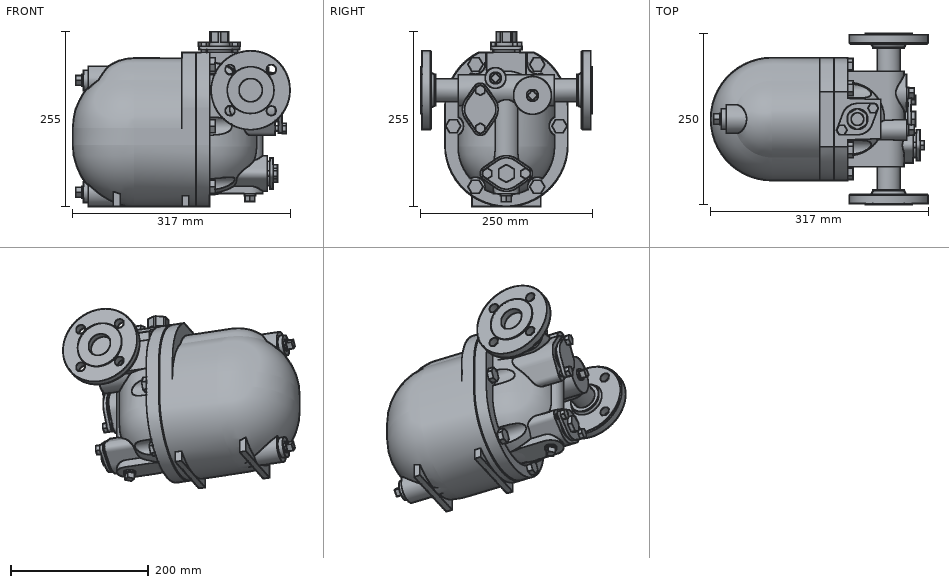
import cadquery as cq
import math


vessel_radius = 89.7
lower_axis_z = vessel_radius
upper_axis_z = 114.5
crown_radius = 65.0
crown_top_z = 216.5
crown_axis_z = crown_top_z - crown_radius
dome_x = vessel_radius

joint_front_x = 159.0
joint_middle_x = 179.0
joint_rear_x = 199.7
joint_top_z = 224.8
joint_arc_z = 144.5
gasket_thickness = 1.3
gasket_inset = 0.5
bolt_y = 45.0
bolt_heights = (29.0, 207.0)
side_bolt_y = 77.5
side_bolt_z = 117.3
bolt_points = [(sign * bolt_y, z) for sign in (-1, 1) for z in bolt_heights]
side_bolt_points = [(-side_bolt_y, side_bolt_z), (side_bolt_y, side_bolt_z)]
bolt_across_flats = 19.0
bolt_head_height = 8.0
bolt_pocket_radius = 14.0
side_pocket_radius = 15.0

boss_radius = 21.0
boss_face_x = 22.8
boss_axis_heights = (boss_radius, 184.0)
boss_plug_diameter = 30.0
boss_plug_length = 7.0
foot_thickness = 9.8
foot_half_width = 50.5
foot_height = 25.5
foot_starts = (59.5, 159.5)

plug_diameter = 17.0
plug_collar = 3.0
plug_square_length = 8.5
plug_square_diagonal = 15.0

cover_radius = 70.5
cover_lower_z = 87.5
cover_upper_z = 146.5
pad_end_x = 248.2
pad_half_width = 30.0
pad_end_half_width = 28.5
drain_axis_x = 258.5
drain_radius = 19.0
web_shoulder_x = 222.0
web_root_half_width = 16.5
drain_bottom_z = 18.7

pipe_diameter = 34.0
flange_diameter = 115.0
total_length = 317.0
total_width = 250.0
pipe_x = total_length - flange_diameter / 2
pipe_z = 169.5
block_half_width = 69.7
block_end_radius = 22.5
raised_face_diameter = 68.0
raised_face_height = 2.0
flange_thickness = 14.0
flange_chamfer = 2.0
hub_diameter = 46.0
hub_base_diameter = 50.7
hub_cone_length = 4.5
hub_length = 6.3
socket_depth = 11.5
flange_hole_diameter = 14.0
flange_hole_circle = 85.0
flange_hole_count = 4
flange_hole_start_angle = 45

oval_radius = 22.8
lug_radius = 7.0
lug_distance = 28.0
oval_thickness = 4.8
oval_gap = 3.8
thick_oval_thickness = 5.5
thick_oval_gap = 4.8
oval_neck_diameter = 36.0
stud_diameter = 8.0
screw_across_flats = 13.3
screw_head_height = 6.3
oval_boss_margin = 3.2

round_port_end_x = 285.5
large_port_y, large_port_z, large_port_diameter = 38.0, 162.0, 55.0
small_port_y, small_port_z, small_port_diameter = -16.0, 187.5, 30.0
upper_oval_y, upper_oval_z, upper_oval_end_x = -38.0, 141.7, 295.0
lower_oval_y, lower_oval_z, lower_oval_end_x = 0.0, 48.2, 283.7
center_hex_across_flats = 22.5

fitting_x = 214.0
fitting_top_z = 255.0
fitting_hex_bottom_z = 239.3
fitting_across_flats = 27.5
fitting_diameter = 30.0
fitting_bore_diameter = 18.5
fitting_bore_depth = 25.5
fitting_lug_angle = 35.0


def bar_x(diameter, x_start, x_end, y, z):
    """Round bar along X."""
    return cq.Workplane("YZ", origin=(x_start, y, z)).circle(diameter / 2).extrude(x_end - x_start)


def ball(radius, x, z):
    """Sphere centred on the middle plane."""
    return cq.Workplane("XY", origin=(x, 0, z)).sphere(radius)


def hexagon(plane, across_flats, height):
    """Hexagonal prism with two corners on the local X axis of the plane."""
    return plane.polygon(6, across_flats / math.cos(math.pi / 6)).extrude(height)


def box_between(x_range, y_range, z_range):
    size = [high - low for low, high in (x_range, y_range, z_range)]
    corner = (x_range[0], y_range[0], z_range[0])
    return cq.Workplane("XY").box(*size, centered=False).translate(corner)


def square_plug(x, y, z, direction):
    """Round collar and square head, pointing along the given direction."""
    base = cq.Plane(origin=(x, y, z), xDir=(0, 1, 0), normal=direction)
    collar = cq.Workplane(base).circle(plug_diameter / 2).extrude(plug_collar)
    head = cq.Workplane(base).polygon(4, plug_square_diagonal).extrude(plug_collar + plug_square_length)
    return collar.union(head)


def oval(plane, angle, margin, height):
    """Round plate with two opposite lugs, joined by straight tangents and grown by margin."""
    big = oval_radius + margin
    small = lug_radius + margin
    spread = math.degrees(math.acos((big - small) / lug_distance))

    def point(radius, turn, shift=0):
        """Point at the given turn from the lug axis on a circle shifted along that axis."""
        lug = math.radians(angle)
        around = math.radians(angle + turn)
        x = radius * math.cos(around) + shift * math.cos(lug)
        y = radius * math.sin(around) + shift * math.sin(lug)
        return (x, y)

    return (
        plane.moveTo(*point(big, -spread))
        .lineTo(*point(small, -spread, lug_distance))
        .threePointArc(point(small, 0, lug_distance), point(small, spread, lug_distance))
        .lineTo(*point(big, spread))
        .threePointArc(point(big, 90), point(big, 180 - spread))
        .lineTo(*point(small, 180 - spread, -lug_distance))
        .threePointArc(point(small, 180, -lug_distance), point(small, 180 + spread, -lug_distance))
        .lineTo(*point(big, 180 + spread))
        .threePointArc(point(big, 270), point(big, -spread))
        .close()
        .extrude(height)
    )


def oval_flange(plane, angle, gap, thickness):
    """Neck, studs, oval plate and two hexagonal screw heads standing on the plane."""
    top = gap + thickness
    lug = math.radians(angle)
    lug_x = lug_distance * math.cos(lug)
    lug_y = lug_distance * math.sin(lug)
    flange = oval(plane.workplane(offset=gap), angle, 0, thickness)
    flange = flange.union(plane.circle(oval_neck_diameter / 2).extrude(top))
    for sign in (-1, 1):
        spot = plane.center(sign * lug_x, sign * lug_y)
        flange = flange.union(spot.circle(stud_diameter / 2).extrude(top))
        flange = flange.union(hexagon(spot.workplane(offset=top), screw_across_flats, screw_head_height))
    return flange


def vessel():
    """Round-bottomed shell with a narrower crown, closed by a rounded dome."""
    axis_spacing = upper_axis_z - lower_axis_z
    section = cq.Workplane("YZ", origin=(dome_x, 0, (lower_axis_z + upper_axis_z) / 2))
    section = section.slot2D(axis_spacing + 2 * vessel_radius, 2 * vessel_radius, 90)
    body = section.extrude(joint_front_x - dome_x)
    body = body.union(bar_x(2 * crown_radius, dome_x, joint_front_x, 0, crown_axis_z))
    belt = cq.Workplane("XY", origin=(dome_x, 0, lower_axis_z)).circle(vessel_radius)
    body = body.union(belt.extrude(axis_spacing))
    body = body.union(ball(vessel_radius, dome_x, lower_axis_z))
    body = body.union(ball(vessel_radius, dome_x, upper_axis_z))
    return body.union(ball(crown_radius, dome_x, crown_axis_z))


def joint_slab(x_start, x_end, inset):
    """Slab with a round bottom, straight sides and a flat-topped arched top."""
    radius = vessel_radius - inset
    top = joint_top_z - inset
    flat_half = math.sqrt(radius**2 - (top - joint_arc_z) ** 2)
    shoulder = math.asin((top - joint_arc_z) / radius) / 2
    shoulder_point = (radius * math.cos(shoulder), joint_arc_z + radius * math.sin(shoulder))
    return (
        cq.Workplane("YZ", origin=(x_start, 0, 0))
        .moveTo(-radius, lower_axis_z)
        .threePointArc((0, lower_axis_z - radius), (radius, lower_axis_z))
        .lineTo(radius, joint_arc_z)
        .threePointArc(shoulder_point, (flat_half, top))
        .lineTo(-flat_half, top)
        .threePointArc((-shoulder_point[0], shoulder_point[1]), (-radius, joint_arc_z))
        .close()
        .extrude(x_end - x_start)
    )


def joint():
    gasket_end_x = joint_middle_x + gasket_thickness
    slabs = joint_slab(joint_front_x, joint_middle_x, 0)
    slabs = slabs.union(joint_slab(joint_middle_x, gasket_end_x, gasket_inset))
    return slabs.union(joint_slab(gasket_end_x, joint_rear_x, 0))


def vessel_bosses():
    bosses = cq.Workplane("XY")
    plug_face_x = boss_face_x - boss_plug_length
    for z in boss_axis_heights:
        bosses = bosses.union(bar_x(2 * boss_radius, boss_face_x, dome_x, 0, z))
        bosses = bosses.union(bar_x(boss_plug_diameter, plug_face_x, boss_face_x, 0, z))
        bosses = bosses.union(square_plug(plug_face_x, 0, z, (-1, 0, 0)))
    return bosses


def feet():
    blocks = cq.Workplane("XY")
    for x in foot_starts:
        width = (-foot_half_width, foot_half_width)
        blocks = blocks.union(box_between((x, x + foot_thickness), width, (0, foot_height)))
    return blocks


def cover_dome():
    """Tall rounded cover with a clearance pocket at every bolt head."""
    wall = cq.Workplane("XY", origin=(joint_rear_x, 0, cover_lower_z)).circle(cover_radius)
    dome = wall.extrude(cover_upper_z - cover_lower_z)
    dome = dome.union(ball(cover_radius, joint_rear_x, cover_lower_z))
    dome = dome.union(ball(cover_radius, joint_rear_x, cover_upper_z))
    width = (-vessel_radius, vessel_radius)
    dome = dome.intersect(box_between((joint_rear_x, total_length), width, (0, joint_top_z)))
    return dome.cut(bolt_pockets())


def pipe_block():
    """Cross block with a round rear end."""
    length = 2 * block_half_width
    block = box_between((joint_rear_x, pipe_x), (-block_half_width, block_half_width),
                        (pipe_z - block_end_radius, pipe_z + block_end_radius))
    end = cq.Workplane("XZ", origin=(pipe_x, block_half_width, pipe_z)).circle(block_end_radius)
    return block.union(end.extrude(length))


def fitting_pad():
    """Slightly tapered block under the top fitting."""
    outline = [(joint_rear_x, -pad_half_width), (pad_end_x, -pad_end_half_width),
               (pad_end_x, pad_end_half_width), (joint_rear_x, pad_half_width)]
    pad = cq.Workplane("XY", origin=(0, 0, pipe_z)).polyline(outline).close()
    return pad.extrude(joint_top_z - pipe_z)


def drain_column():
    """Upright round-ended rib under the pipe block, with a drain plug below."""
    column = cq.Workplane("XY", origin=(drain_axis_x, 0, drain_bottom_z)).circle(drain_radius)
    column = column.extrude(pipe_z - drain_bottom_z)
    half_outline = [(joint_rear_x, web_root_half_width), (web_shoulder_x, drain_radius),
                    (drain_axis_x, drain_radius)]
    outline = half_outline + [(x, -y) for x, y in reversed(half_outline)]
    web = cq.Workplane("XY", origin=(0, 0, drain_bottom_z)).polyline(outline).close()
    web = web.extrude(pipe_z - drain_bottom_z)
    return column.union(web).union(square_plug(drain_axis_x, 0, drain_bottom_z, (0, 0, -1)))


def rear_plane(x, y, z):
    """Plane facing +X whose local X axis points up."""
    return cq.Workplane(cq.Plane(origin=(x, y, z), xDir=(0, 0, 1), normal=(1, 0, 0)))


def rear_ports():
    """Two plugged round bosses and two lugged bosses with oval flanges, all facing +X."""
    ports = cq.Workplane("XY")
    round_ports = ((large_port_diameter, large_port_y, large_port_z),
                   (small_port_diameter, small_port_y, small_port_z))
    for diameter, y, z in round_ports:
        ports = ports.union(bar_x(diameter, fitting_x, round_port_end_x, y, z))
        ports = ports.union(square_plug(round_port_end_x, y, z, (1, 0, 0)))
    oval_ports = (
        (upper_oval_end_x, upper_oval_y, upper_oval_z, 0, thick_oval_gap, thick_oval_thickness),
        (lower_oval_end_x, lower_oval_y, lower_oval_z, 90, oval_gap, oval_thickness),
    )
    for end_x, y, z, lug_angle, gap, thickness in oval_ports:
        root = rear_plane(joint_rear_x, y, z)
        ports = ports.union(oval(root, lug_angle, oval_boss_margin, end_x - joint_rear_x))
        ports = ports.union(oval_flange(rear_plane(end_x, y, z), lug_angle, gap, thickness))
    plate_x = lower_oval_end_x + oval_gap + oval_thickness
    hex_plane = rear_plane(plate_x, lower_oval_y, lower_oval_z)
    return ports.union(hexagon(hex_plane, center_hex_across_flats, screw_head_height))


def top_fitting():
    """Oval flange carrying a bored neck whose hexagon corners are rounded off."""
    pad = cq.Workplane("XY", origin=(fitting_x, 0, joint_top_z))
    fitting = oval_flange(pad, fitting_lug_angle, oval_gap, oval_thickness)
    neck = pad.circle(fitting_diameter / 2).extrude(fitting_top_z - joint_top_z)
    hex_plane = cq.Plane((fitting_x, 0, fitting_hex_bottom_z), (0, 1, 0), (0, 0, 1))
    hex_height = fitting_top_z - fitting_hex_bottom_z
    prism = hexagon(cq.Workplane(hex_plane), fitting_across_flats, hex_height)
    lower_neck = pad.circle(fitting_diameter / 2).extrude(fitting_hex_bottom_z - joint_top_z)
    fitting = fitting.union(lower_neck).union(prism.intersect(neck))
    bore = cq.Workplane("XY", origin=(fitting_x, 0, fitting_top_z)).circle(fitting_bore_diameter / 2)
    return fitting.cut(bore.extrude(-fitting_bore_depth))


def joint_bolts():
    heads = cq.Workplane("XY")
    for y, z in bolt_points + side_bolt_points:
        spot = cq.Workplane("YZ", origin=(joint_rear_x, y, z))
        heads = heads.union(hexagon(spot, bolt_across_flats, bolt_head_height))
    return heads


def bolt_pockets():
    pockets = cq.Workplane("XY")
    for points, radius in ((bolt_points, bolt_pocket_radius), (side_bolt_points, side_pocket_radius)):
        for y, z in points:
            pockets = pockets.union(bar_x(2 * radius, joint_rear_x, pad_end_x, y, z))
    return pockets


def flanged_pipe():
    """Pipe and weld-on flange on the -Y side, ending in a shallow socket."""
    outer = total_width / 2
    face = outer - raised_face_height
    back = face - flange_thickness
    profile = [
        (0, 0), (pipe_diameter / 2, 0), (pipe_diameter / 2, back - hub_length),
        (hub_diameter / 2, back - hub_length), (hub_diameter / 2, back - hub_cone_length),
        (hub_base_diameter / 2, back), (flange_diameter / 2 - flange_chamfer, back),
        (flange_diameter / 2, back + flange_chamfer), (flange_diameter / 2, face),
        (raised_face_diameter / 2, face), (raised_face_diameter / 2, outer),
        (pipe_diameter / 2, outer), (pipe_diameter / 2, outer - socket_depth), (0, outer - socket_depth),
    ]
    axis_plane = cq.Plane(origin=(pipe_x, 0, pipe_z), xDir=(1, 0, 0), normal=(0, 0, -1))
    pipe = cq.Workplane(axis_plane).polyline(profile).close().revolve(360, (0, 0), (0, 1))
    holes = (
        cq.Workplane("XZ", origin=(pipe_x, -back, pipe_z))
        .polarArray(flange_hole_circle / 2, flange_hole_start_angle, 360, flange_hole_count)
        .circle(flange_hole_diameter / 2)
        .extrude(flange_thickness)
    )
    return pipe.cut(holes)


pipe = flanged_pipe()
result = vessel().union(joint())
for piece in (vessel_bosses(), feet(), cover_dome(), pipe_block(), fitting_pad(), drain_column(),
              rear_ports(), top_fitting(), joint_bolts(), pipe, pipe.mirror("XZ")):
    result = result.union(piece, clean=False)